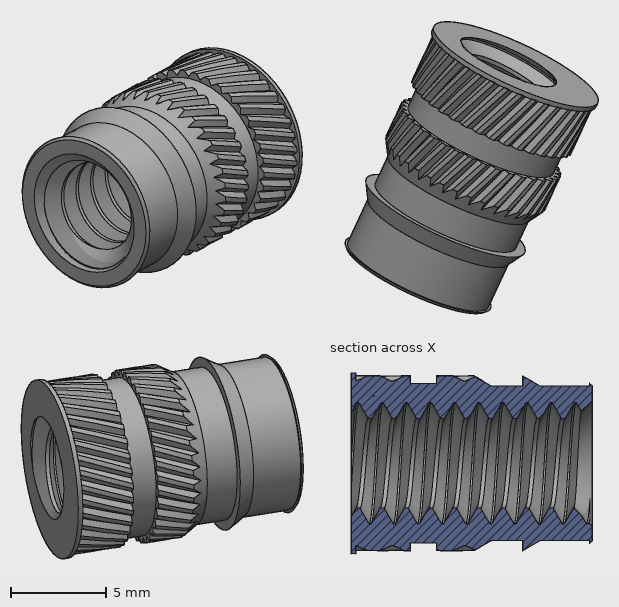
import cadquery as cq
import math


length = 12.7
lip_height = 0.15
barb_start = 2.75
barb_end = 3.67
lower_band_start = 5.32
lower_band_full = 6.24
lower_band_end = 8.2
upper_band_start = 9.58
flange_start = 12.45

flange_radius = 9.52 / 2
knurl_radius = 9.22 / 2
neck_radius = 8.43 / 2
body_radius = 8.15 / 2

groove_count = 36
groove_depth = 0.28
groove_share = 0.67
groove_overshoot = 1.5
knurl_helix_angle = 22.8
knurl_phase = 2.7

thread_pitch = 1.27
minor_radius = 4.7 / 2
major_radius = 6.35 / 2
mouth_radius = 6.6 / 2
flank_angle = 30.0
root_flat = 0.1
thread_offset = -0.05
thread_overlap = 0.1
turns_per_cutter = 3

knurl_root_radius = knurl_radius - groove_depth


def revolve_profile(points):
    """Solid of revolution about Z from (radius, z) points."""
    return cq.Workplane("YZ").polyline(points).close().revolve(360, (0, 0, 0), (0, 1, 0))


def make_blank():
    """Turned outside shape without knurl grooves or bore."""
    return revolve_profile(
        [
            (0, 0),
            (body_radius, 0),
            (neck_radius, lip_height),
            (body_radius, lip_height),
            (body_radius, barb_start),
            (knurl_radius, barb_end),
            (body_radius, barb_end),
            (body_radius, lower_band_start),
            (knurl_radius, lower_band_full),
            (knurl_radius, lower_band_end),
            (neck_radius, lower_band_end),
            (neck_radius, upper_band_start),
            (knurl_radius, upper_band_start),
            (knurl_radius, flange_start),
            (flange_radius, flange_start),
            (flange_radius, length),
            (0, length),
        ]
    )


def make_bore():
    """Through bore with a 45 degree countersink at the plain end."""
    return revolve_profile(
        [
            (0, 0),
            (mouth_radius, 0),
            (minor_radius, mouth_radius - minor_radius),
            (minor_radius, length),
            (0, length),
        ]
    )


def make_knurl_cutter():
    """One V groove cutter, twisted along both knurled bands."""
    height = flange_start - lower_band_start
    twist = math.degrees(height * math.tan(math.radians(knurl_helix_angle)) / knurl_radius)
    mouth_half_angle = groove_share * math.pi / groove_count
    outer_radius = knurl_root_radius + groove_depth * groove_overshoot
    outer_half_width = knurl_radius * math.sin(mouth_half_angle) * groove_overshoot
    return (
        cq.Workplane("XY")
        .workplane(offset=lower_band_start)
        .moveTo(knurl_root_radius, 0)
        .lineTo(outer_radius, -outer_half_width)
        .lineTo(outer_radius, outer_half_width)
        .close()
        .twistExtrude(height, twist)
        .rotate((0, 0, 0), (0, 0, 1), knurl_phase)
    )


def cut_knurl(body):
    """Cut all knurl grooves; they clear the neck, which is smaller than their roots."""
    cutter = make_knurl_cutter()
    step = 360 / groove_count
    cutters = [cutter.rotate((0, 0, 0), (0, 0, 1), i * step).val() for i in range(groove_count)]
    return body.cut(cq.Workplane(cq.Compound.makeCompound(cutters)))


def make_thread_cutter():
    """Right-hand helical V groove of a few turns, starting one pitch below the plain end."""
    start = thread_offset - thread_pitch
    cutter_height = turns_per_cutter * thread_pitch
    inner_radius = minor_radius - thread_overlap
    half_root = root_flat / 2
    half_mouth = half_root + (major_radius - inner_radius) * math.tan(math.radians(flank_angle))
    section = [
        (inner_radius, start - half_mouth),
        (major_radius, start - half_root),
        (major_radius, start + half_root),
        (inner_radius, start + half_mouth),
    ]
    edges = [
        cq.Wire.makeHelix(thread_pitch, cutter_height, radius, cq.Vector(0, 0, z))
        for radius, z in section
    ]
    faces = [cq.Face.makeRuledSurface(edges[i - 1], edges[i]) for i in range(len(edges))]
    for rise in (0, cutter_height):
        corners = [cq.Vector(radius, 0, z + rise) for radius, z in section]
        faces.append(cq.Face.makeFromWires(cq.Wire.makePolygon(corners, close=True)))
    return cq.Workplane(cq.Solid.makeSolid(cq.Shell.makeShell(faces)))


def cut_thread(body):
    """Cut the thread in stretches of a few turns, joined end to end past both ends of the bore."""
    cutter = make_thread_cutter()
    stretch = turns_per_cutter * thread_pitch
    stretch_count = math.ceil((length + 2 * thread_pitch) / stretch)
    for i in range(stretch_count):
        body = body.cut(cutter.translate((0, 0, i * stretch)))
    return body


insert = make_blank().cut(make_bore())
insert = cut_thread(insert)
insert = cut_knurl(insert)
result = insert.rotate((0, 0, 0), (1, 0, 0), -90)